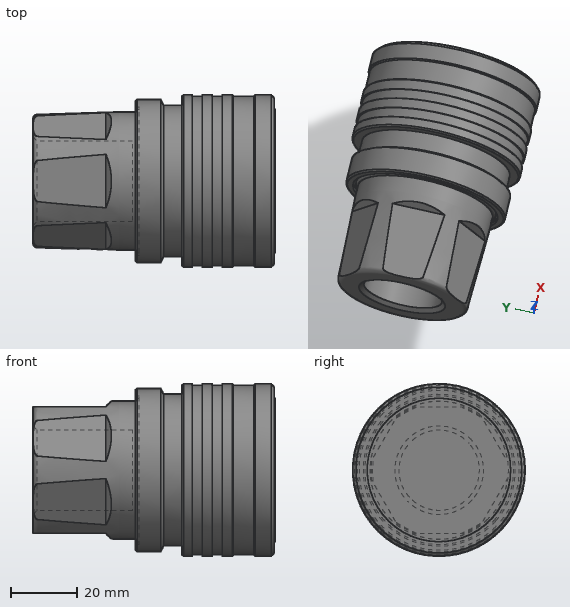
import cadquery as cq
import math

length = 73.0

taper_slope = 1 / 32
taper_end_x = 26.0
body_radius = 20.85
nose_round = 1.5

flat_count = 6
across_flats = 38.2
flat_length = 22.0
flat_run_out_angle = 45.0

bore_radius = 12.1
bore_chamfer = 1.25
bore_depth = 30.0

shoulder_radius = 21.65
gap_outer_radius = 22.4
gap_depth = 1.0

flange_start_x = 30.9
flange_cone_x = 38.5
flange_end_x = 39.4
flange_radius = 24.6
flange_chamfer = 0.5

neck_radius = 22.9

sleeve_start_x = 44.9
sleeve_end_x = 72.75
sleeve_radius = 26.0
sleeve_front_chamfer = 0.5
sleeve_rear_chamfer = 1.0
core_radius = 21.6

groove_floor_radius = 25.6
grip_groove_starts = (48.0, 54.0)
grip_groove_width = 3.0
wide_groove_start_x = 60.0
wide_groove_end_x = 67.0

axis_start = (0, 0, 0)
axis_end = (1, 0, 0)


def turn(outline):
    """Revolve a closed outline of the XY plane about the X axis."""
    return outline.close().revolve(360, axis_start, axis_end)


def ring(start_x, end_x, inner_radius, outer_radius):
    """Plain ring, or a disc when the inner radius is zero."""
    tube = cq.Workplane("YZ", origin=(start_x, 0, 0)).circle(outer_radius)
    if inner_radius > 0:
        tube = tube.circle(inner_radius)
    return tube.extrude(end_x - start_x)


def make_wrench_end():
    """Tapered nose with a rounded front edge, running into a plain cylinder."""
    nose_radius = body_radius - taper_end_x * taper_slope
    nose = turn(
        cq.Workplane("XY")
        .lineTo(0, nose_radius)
        .lineTo(taper_end_x, body_radius)
        .lineTo(flange_start_x, body_radius)
        .lineTo(flange_start_x, 0)
    )
    return nose.faces("<X").edges().fillet(nose_round)


def make_flat_cutter():
    """Block above one flat, ending in a sloped run-out."""
    flat_height = across_flats / 2
    clear_height = flange_radius
    rise = clear_height - flat_height
    run_out = rise / math.tan(math.radians(flat_run_out_angle))
    return (
        cq.Workplane("XZ")
        .moveTo(0, flat_height)
        .lineTo(flat_length, flat_height)
        .lineTo(flat_length + run_out, clear_height)
        .lineTo(0, clear_height)
        .close()
        .extrude(body_radius, both=True)
    )


def cut_flats(body):
    """Cut the hexagonal flats around the nose."""
    cutter = make_flat_cutter()
    for index in range(flat_count):
        body = body.cut(cutter.rotate(axis_start, axis_end, index * 360 / flat_count))
    return body


def make_flange():
    """Flange with a chamfered front rim and a cone at the rear, down to the neck."""
    flange = turn(
        cq.Workplane("XY")
        .moveTo(flange_start_x, 0)
        .lineTo(flange_start_x, flange_radius - flange_chamfer)
        .lineTo(flange_start_x + flange_chamfer, flange_radius)
        .lineTo(flange_cone_x, flange_radius)
        .lineTo(flange_end_x, neck_radius)
        .lineTo(flange_end_x, 0)
    )
    gap = ring(flange_start_x, flange_start_x + gap_depth, body_radius, gap_outer_radius)
    return flange.cut(gap)


def make_shoulder():
    """Shoulder inside the gap; its edge curves from the body out to full radius."""
    edge_round = shoulder_radius - body_radius
    diagonal = edge_round * math.sqrt(0.5)
    return turn(
        cq.Workplane("XY")
        .moveTo(flange_start_x, 0)
        .lineTo(flange_start_x, body_radius)
        .threePointArc(
            (flange_start_x + edge_round - diagonal, body_radius + diagonal),
            (flange_start_x + edge_round, shoulder_radius),
        )
        .lineTo(flange_end_x, shoulder_radius)
        .lineTo(flange_end_x, 0)
    )


def make_wide_groove():
    """Groove with 45 degree side walls."""
    depth = sleeve_radius - groove_floor_radius
    return turn(
        cq.Workplane("XY")
        .moveTo(wide_groove_start_x, sleeve_radius)
        .lineTo(wide_groove_start_x + depth, groove_floor_radius)
        .lineTo(wide_groove_end_x - depth, groove_floor_radius)
        .lineTo(wide_groove_end_x, sleeve_radius)
    )


def make_sleeve():
    """Grooved sleeve, with the core standing slightly proud at its rear end."""
    sleeve = ring(sleeve_start_x, sleeve_end_x, 0, sleeve_radius)
    sleeve = sleeve.faces("<X").edges().chamfer(sleeve_front_chamfer)
    sleeve = sleeve.faces(">X").edges().chamfer(sleeve_rear_chamfer)
    for start_x in grip_groove_starts:
        end_x = start_x + grip_groove_width
        sleeve = sleeve.cut(ring(start_x, end_x, groove_floor_radius, sleeve_radius))
    sleeve = sleeve.cut(make_wide_groove())
    return sleeve.union(ring(sleeve_end_x, length, 0, core_radius))


def make_bore():
    """Blind bore with a chamfered mouth."""
    return turn(
        cq.Workplane("XY")
        .lineTo(0, bore_radius + bore_chamfer)
        .lineTo(bore_chamfer, bore_radius)
        .lineTo(bore_depth, bore_radius)
        .lineTo(bore_depth, 0)
    )


neck = ring(flange_end_x, sleeve_start_x, 0, neck_radius)

result = (
    cut_flats(make_wrench_end())
    .union(make_flange())
    .union(make_shoulder())
    .union(neck)
    .union(make_sleeve())
    .cut(make_bore())
)